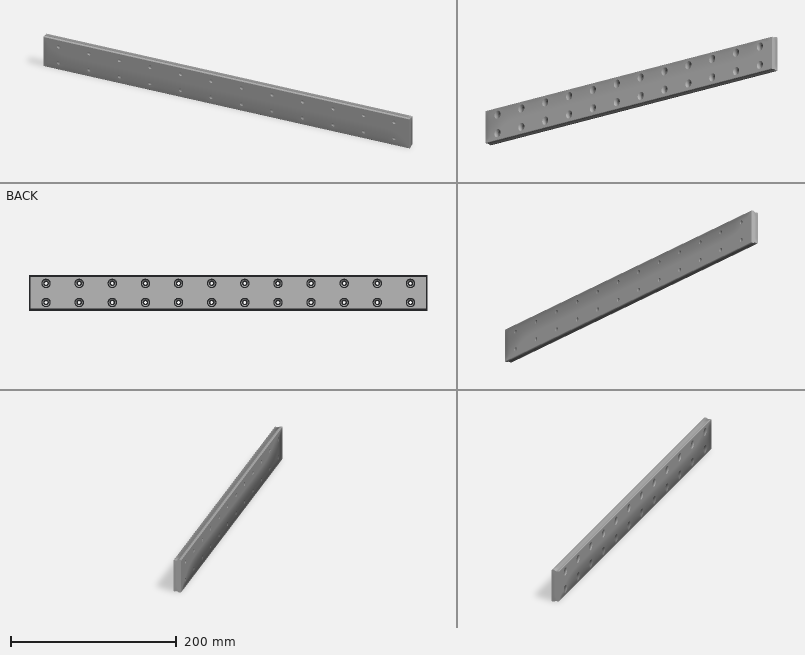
import cadquery as cq

length = 480
thickness = 9.5
height = 42.0

edge_chamfer = 0.6
land_end = 2.7
wall_end = 4.5
wall_drop = 0.9
groove_bottom = 6.0
groove_depth = 1.35
floor_end = 7.0
floor_drop = 1.2
lip_end = thickness - edge_chamfer
lip_drop = 0.9

hole_diameter = 5.0
countersink_diameter = 10.0
countersink_angle = 90
holes_per_row = 12
row_spacing = 23.0
hole_pitch = length / holes_per_row


def strip():
    """Extruded section; each edge point is a distance from the front face and a drop in height."""
    edge_points = [
        (0, edge_chamfer),
        (edge_chamfer, 0),
        (land_end, 0),
        (wall_end, wall_drop),
        (groove_bottom, groove_depth),
        (floor_end, floor_drop),
        (lip_end, lip_drop),
        (thickness, lip_drop + edge_chamfer),
    ]
    upper_edge = [(y, height / 2 - drop) for y, drop in edge_points]
    lower_edge = [(y, -z) for y, z in reversed(upper_edge)]
    section = cq.Workplane("YZ").polyline(upper_edge + lower_edge).close()
    return section.extrude(length / 2, both=True)


def drill_holes(body):
    """Drill the screw holes right through, countersunk on the back face."""
    back_face = body.faces(">Y").workplane(origin=(0, thickness, 0))
    hole_centres = back_face.rarray(hole_pitch, row_spacing, holes_per_row, 2)
    return hole_centres.cskHole(hole_diameter, countersink_diameter, countersink_angle)


result = drill_holes(strip())